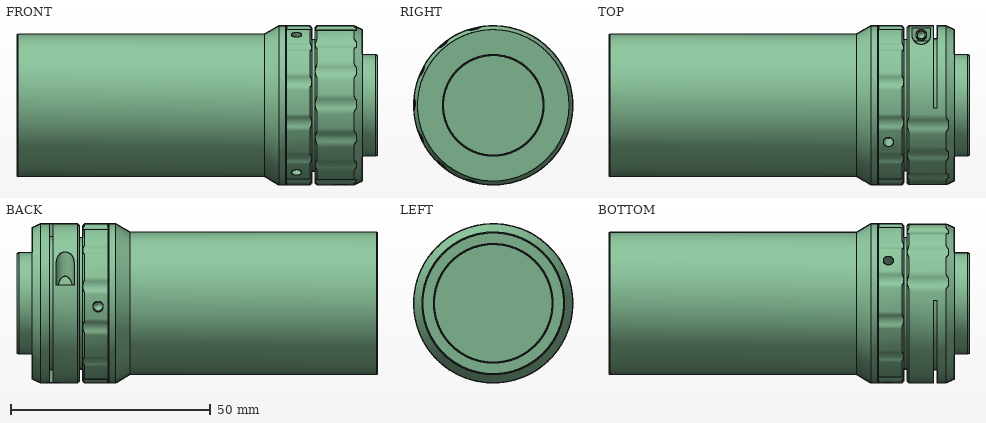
import cadquery as cq
import math

length = 90.6

tube_radius = 17.9
tube_chamfer = 0.3
face_recess_radius = 14.8
face_recess_chamfer = 0.3
face_recess_depth = 1.3

outer_radius = 20.0
flare_start = 62.2
flare_end = 65.8

gap_start = 67.5
gap_width = 0.3
gap_depth = 0.6

ring_start = gap_start + gap_width
ring_end = 74.1
ring_chamfer = 0.5
neck_radius = 16.6

clamp_start = 74.8
clamp_chamfer = 0.5
core_radius = 16.8
bevel_start = 84.6
clamp_end = 86.8
bevel_end_radius = 19.0

spigot_radius = 12.8
spigot_chamfer = 0.5
spigot_chamfer_drop = 0.3

ring_groove_count = 12
ring_groove_phase = 17.5
ring_groove_half_angle = 6.1
ring_groove_radius = 3.2
ring_groove_blend = 1.8
clamp_groove_spacing = 25.0
clamp_groove_phase = 0.8
clamp_grooves_each_side = 3
clamp_groove_half_angle = 7.2
clamp_groove_radius = 3.6
clamp_groove_blend = 3.2
clamp_groove_end = 85.3

set_screw_count = 3
set_screw_x = 70.2
set_screw_radius = 1.3
set_screw_depth = 4.5
set_screw_phase = ring_groove_phase + 1.5 * 360 / ring_groove_count

screw_x = 78.5
screw_y = 17.7
screw_pocket_radius = 2.4
screw_pocket_floor = 4.6
screw_counterbore_radius = 1.4
screw_counterbore_floor = 0.0
screw_hole_radius = 1.0
screw_hole_floor = -2.7
drill_tip_half_angle = 59.0

slot_start = 81.5
slot_width = 0.9
slot_end_y = -0.7

overshoot = 0.9


def cylinder_x(radius, start, end):
    """Cylinder around the X axis between two X positions."""
    return cq.Workplane("YZ", origin=(start, 0, 0)).circle(radius).extrude(end - start)


def make_barrel():
    """Revolved body with every step, chamfer and round gap."""
    return (
        cq.Workplane("XY")
        .moveTo(0, 0)
        .lineTo(0, tube_radius - tube_chamfer)
        .lineTo(tube_chamfer, tube_radius)
        .lineTo(flare_start, tube_radius)
        .lineTo(flare_end, outer_radius)
        .lineTo(gap_start, outer_radius)
        .lineTo(gap_start, outer_radius - gap_depth)
        .lineTo(ring_start, outer_radius - gap_depth)
        .lineTo(ring_start, outer_radius)
        .lineTo(ring_end - ring_chamfer, outer_radius)
        .lineTo(ring_end, outer_radius - ring_chamfer)
        .lineTo(ring_end, neck_radius)
        .lineTo(clamp_start, neck_radius)
        .lineTo(clamp_start, outer_radius - clamp_chamfer)
        .lineTo(clamp_start + clamp_chamfer, outer_radius)
        .lineTo(bevel_start, outer_radius)
        .lineTo(clamp_end, bevel_end_radius)
        .lineTo(clamp_end, spigot_radius)
        .lineTo(length - spigot_chamfer, spigot_radius)
        .lineTo(length, spigot_radius - spigot_chamfer_drop)
        .lineTo(length, 0)
        .close()
        .revolve(360, (0, 0, 0), (1, 0, 0))
    )


def make_face_recess():
    """Shallow round recess in the front face, chamfered at its mouth."""
    mouth_radius = face_recess_radius + face_recess_chamfer
    return (
        cq.Workplane("XY")
        .lineTo(0, mouth_radius)
        .lineTo(face_recess_chamfer, face_recess_radius)
        .lineTo(face_recess_depth, face_recess_radius)
        .lineTo(face_recess_depth, 0)
        .close()
        .revolve(360, (0, 0, 0), (1, 0, 0))
    )


def make_groove(start, end, half_angle, groove_radius, blend_radius):
    """Cutter for one grip groove on the -Y side, running along X."""
    angle = math.radians(half_angle)
    reach = groove_radius + blend_radius
    blend_u = (outer_radius - blend_radius) * math.sin(angle)
    blend_v = (outer_radius - blend_radius) * math.cos(angle)
    groove_v = blend_v + math.sqrt(reach**2 - blend_u**2)

    crest = (outer_radius * math.sin(angle), outer_radius * math.cos(angle))
    share = groove_radius / reach
    turn = (blend_u * share, groove_v + (blend_v - groove_v) * share)
    crest_direction = math.atan2(crest[1] - blend_v, crest[0] - blend_u)
    turn_direction = math.atan2(turn[1] - blend_v, turn[0] - blend_u)
    middle_direction = (crest_direction + turn_direction) / 2
    blend_middle = (
        blend_u + blend_radius * math.cos(middle_direction),
        blend_v + blend_radius * math.sin(middle_direction),
    )
    floor = (0, groove_v - groove_radius)
    top = outer_radius + overshoot

    def place(point, side=1):
        return (-point[1], side * point[0])

    return (
        cq.Workplane("YZ", origin=(start, 0, 0))
        .moveTo(*place((crest[0], top)))
        .lineTo(*place(crest))
        .threePointArc(place(blend_middle), place(turn))
        .threePointArc(place(floor), place(turn, -1))
        .threePointArc(place(blend_middle, -1), place(crest, -1))
        .lineTo(*place((crest[0], top), -1))
        .close()
        .extrude(end - start)
    )


def around_axis(shape, angle):
    """Turn a shape about the X axis; positive angles go from -Y towards +Z."""
    return shape.rotate((0, 0, 0), (1, 0, 0), -angle)


def drill(radius, depth):
    """Drilled hole pointing down from the origin, with a conical tip."""
    tip = radius / math.tan(math.radians(drill_tip_half_angle))
    return (
        cq.Workplane("XZ")
        .lineTo(radius, 0)
        .lineTo(radius, -depth)
        .lineTo(0, -depth - tip)
        .close()
        .revolve(360, (0, 0, 0), (0, 1, 0))
    )


def make_set_screw_hole():
    """Radial hole in the fixed ring, on the -Y side."""
    hole = drill(set_screw_radius, set_screw_depth + overshoot)
    hole = hole.translate((set_screw_x, 0, outer_radius + overshoot))
    return around_axis(hole, -90)


def make_clamp_screw():
    """Pocket, counterbore and hole of the clamp screw, kept clear of the core."""
    pocket_height = outer_radius - screw_pocket_floor
    at_screw = cq.Workplane("XY", origin=(screw_x, screw_y, screw_pocket_floor))
    pocket = at_screw.circle(screw_pocket_radius).extrude(pocket_height)
    open_side = at_screw.center(0, screw_pocket_radius).rect(
        2 * screw_pocket_radius, 2 * screw_pocket_radius
    )
    pocket = pocket.union(open_side.extrude(pocket_height))
    counterbore = at_screw.circle(screw_counterbore_radius).extrude(
        screw_counterbore_floor - screw_pocket_floor
    )
    hole = drill(screw_hole_radius, screw_pocket_floor - screw_hole_floor)
    hole = hole.translate((screw_x, screw_y, screw_pocket_floor))
    core = cylinder_x(core_radius, clamp_start, clamp_end)
    return pocket.union(counterbore).union(hole).cut(core)


def make_slot():
    """Slot around the +Y side of the clamp ring, down to the core."""
    slot_end = slot_start + slot_width
    ring = cylinder_x(outer_radius + overshoot, slot_start, slot_end)
    ring = ring.cut(cylinder_x(core_radius, slot_start, slot_end))
    ring_diameter = 2 * (outer_radius + overshoot)
    kept_side = (
        cq.Workplane("XY", origin=(slot_start, slot_end_y, 0))
        .box(slot_width, ring_diameter, ring_diameter, centered=(False, False, True))
    )
    return ring.intersect(kept_side)


result = make_barrel().cut(make_face_recess())

ring_groove = make_groove(
    gap_start, ring_end, ring_groove_half_angle, ring_groove_radius, ring_groove_blend
)
for index in range(ring_groove_count):
    result = result.cut(around_axis(ring_groove, ring_groove_phase + index * 360 / ring_groove_count))

clamp_groove = make_groove(
    clamp_start, clamp_groove_end, clamp_groove_half_angle, clamp_groove_radius, clamp_groove_blend
)
for index in range(-clamp_grooves_each_side, clamp_grooves_each_side + 1):
    result = result.cut(around_axis(clamp_groove, clamp_groove_phase + index * clamp_groove_spacing))

set_screw_hole = make_set_screw_hole()
for index in range(set_screw_count):
    result = result.cut(around_axis(set_screw_hole, set_screw_phase + index * 360 / set_screw_count))

result = result.cut(make_clamp_screw()).cut(make_slot())